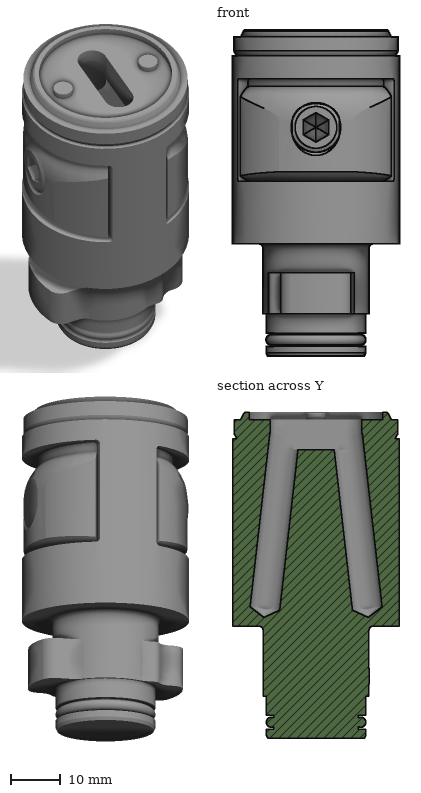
import cadquery as cq
import math

total_height = 65.55
stem_bottom = 8.5
body_bottom = 22.55
body_top = 60.3
cap_shoulder = 64.1

plug_radius = 10.0
stem_radius = 10.7
body_radius = 33.6 / 2

plug_chamfer_width = 0.3
plug_chamfer_height = 0.65
groove_bottom = 1.95
groove_top = 4.65
groove_radius = 8.5
ring_section_radius = 1.05
stem_fillet = 0.8

cap_neck_radius = 16.0
cap_radius = 16.5
cap_chamfer_top = 61.3
lip_base_radius = 15.15
lip_edge_radius = 14.55
lip_edge_chamfer = 0.25
recess_radius = 13.4
pin_radius = 1.95
pin_height = 1.25
pin_chamfer = 0.1
pin_offset = 9.45

slot_length = 18.3
slot_width = 5.9
slot_depth = 6.0
hole_lean = 6.5
hole_depth = 32.1
hole_tip_depth = 1.8
hole_inner_edge = 3.7

strip_half_width = 11.85 / 2
window_bottom = 35.15
front_window_top = 55.7
back_window_top = 56.1
window_corner_radius = 0.8

jaw_radius = 16.6
jaw_axis_offset = 2.9
jaw_neck_reach = 13.4
jaw_reach = 16.3
jaw_neck_bottom = 54.2
jaw_shoulder_bottom = 47.45
jaw_bevel_height = 1.9
jaw_side_start = 13.65
jaw_side_slope = 0.5

screw_height = 45.95
screw_radius = 5.0
screw_face_radius = 4.2
screw_face_y = 16.1
screw_seat_y = 15.7
seat_radius = 5.05
hex_across_flats = 5.1
hex_depth = 3.95
hex_tip_depth = 1.45

lug_top = 16.8
lug_radius = 15.55
lug_half_width = 7.0
lug_crown_half_width = 5.2
lug_corner_start_y = -12.05
lug_corner_bulge = 0.3


def revolve_profile(profile):
    """Turn a closed radius-height outline around Z."""
    return profile.close().revolve(360, (0, 0, 0), (0, 1, 0))


def make_turned_body():
    lip_edge_height = total_height - lip_edge_chamfer
    fillet_mid = stem_fillet * (1 - math.sqrt(0.5))
    profile = (
        cq.Workplane("XZ")
        .lineTo(plug_radius - plug_chamfer_width, 0)
        .lineTo(plug_radius, plug_chamfer_height)
        .lineTo(plug_radius, groove_bottom)
        .lineTo(groove_radius, groove_bottom)
        .lineTo(groove_radius, groove_top)
        .lineTo(plug_radius, groove_top)
        .lineTo(plug_radius, stem_bottom)
        .lineTo(stem_radius, stem_bottom)
        .lineTo(stem_radius, body_bottom - stem_fillet)
        .threePointArc(
            (stem_radius + fillet_mid, body_bottom - fillet_mid),
            (stem_radius + stem_fillet, body_bottom),
        )
        .lineTo(body_radius, body_bottom)
        .lineTo(body_radius, body_top)
        .lineTo(cap_neck_radius, body_top)
        .lineTo(cap_radius, cap_chamfer_top)
        .lineTo(cap_radius, cap_shoulder)
        .lineTo(lip_base_radius, cap_shoulder)
        .lineTo(lip_edge_radius, lip_edge_height)
        .lineTo(lip_edge_radius - lip_edge_chamfer, total_height)
        .lineTo(recess_radius, total_height)
        .lineTo(recess_radius, cap_shoulder)
        .lineTo(0, cap_shoulder)
    )
    return revolve_profile(profile)


def make_o_ring():
    ring_height = (groove_bottom + groove_top) / 2
    ring_axis_radius = plug_radius - ring_section_radius
    return (
        cq.Workplane("XZ")
        .center(-ring_axis_radius, ring_height)
        .circle(ring_section_radius)
        .revolve(360, (ring_axis_radius, 0, 0), (ring_axis_radius, 1, 0))
    )


def make_pins():
    return (
        cq.Workplane("XY", origin=(0, 0, cap_shoulder))
        .pushPoints([(0, pin_offset), (0, -pin_offset)])
        .circle(pin_radius)
        .extrude(pin_height)
        .faces(">Z")
        .chamfer(pin_chamfer)
    )


def make_slot():
    slot_floor = cap_shoulder - slot_depth
    slot = cq.Workplane("XY", origin=(0, 0, slot_floor)).slot2D(slot_length, slot_width).extrude(slot_depth)
    lean = math.radians(hole_lean)
    hole_radius = slot_width / 2
    axis_x = hole_inner_edge + hole_radius / math.cos(lean)
    for side in (-1, 1):
        direction = cq.Vector(side * math.sin(lean), 0, -math.cos(lean))
        start_lift = hole_radius
        start = cq.Vector(side * axis_x, 0, slot_floor) - direction * start_lift
        bore_length = hole_depth + start_lift
        bore = cq.Solid.makeCylinder(hole_radius, bore_length, start, direction)
        tip = cq.Solid.makeCone(hole_radius, 0, hole_tip_depth, start + direction * bore_length, direction)
        slot = slot.union(cq.Workplane(bore)).union(cq.Workplane(tip))
    return slot


def make_window(top):
    """Window on the -Y side of the body, rounded along the strips beside it."""
    height = top - window_bottom
    return (
        cq.Workplane("XY", origin=(0, -strip_half_width, window_bottom))
        .box(2 * body_radius, body_radius, height, centered=(True, False, False))
        .translate((0, -body_radius, 0))
        .edges("|X and >Y")
        .fillet(window_corner_radius)
    )


def make_jaw(top):
    """Jaw on the -Y side: a part turned about an offset axis, trimmed to the body radius."""
    neck_radius = jaw_neck_reach + jaw_axis_offset
    outer_radius = jaw_reach + jaw_axis_offset
    shoulder_width = outer_radius - neck_radius
    shoulder_height = jaw_neck_bottom - jaw_shoulder_bottom
    arc_radius = (shoulder_width**2 + shoulder_height**2) / (2 * shoulder_width)
    half_angle = math.asin(shoulder_height / arc_radius) / 2
    arc_mid = (
        outer_radius - arc_radius * (1 - math.cos(half_angle)),
        jaw_shoulder_bottom + arc_radius * math.sin(half_angle),
    )
    profile = (
        cq.Workplane("XZ")
        .moveTo(0, window_bottom)
        .lineTo(neck_radius, window_bottom)
        .lineTo(outer_radius, window_bottom + jaw_bevel_height)
        .lineTo(outer_radius, jaw_shoulder_bottom)
        .threePointArc(arc_mid, (neck_radius, jaw_neck_bottom))
        .lineTo(neck_radius, top)
        .lineTo(0, top)
    )
    turned = revolve_profile(profile).translate((0, jaw_axis_offset, 0))

    side_run = body_radius - jaw_side_start
    side_end_y = -strip_half_width - jaw_side_slope * side_run
    trim = (
        cq.Workplane("XY", origin=(0, 0, window_bottom))
        .moveTo(-jaw_side_start, 0)
        .lineTo(jaw_side_start, 0)
        .lineTo(jaw_side_start, -strip_half_width)
        .lineTo(body_radius, side_end_y)
        .lineTo(body_radius, -body_radius)
        .lineTo(-body_radius, -body_radius)
        .lineTo(-body_radius, side_end_y)
        .lineTo(-jaw_side_start, -strip_half_width)
        .close()
        .extrude(top - window_bottom)
    )
    limit = cq.Workplane("XY", origin=(0, 0, window_bottom)).circle(jaw_radius).extrude(top - window_bottom)
    return turned.intersect(limit).intersect(trim).cut(make_screw_seat())


def cone_along_minus_y(inner_radius, outer_radius, inner_y, outer_y):
    start = cq.Vector(0, -inner_y, screw_height)
    cone = cq.Solid.makeCone(inner_radius, outer_radius, outer_y - inner_y, start, cq.Vector(0, -1, 0))
    return cq.Workplane(cone)


def make_screw_seat():
    """Flat-bottomed 45 degree countersink on the -Y side."""
    seat_depth = body_radius - screw_seat_y
    return cone_along_minus_y(seat_radius, seat_radius + seat_depth, screw_seat_y, body_radius)


def make_screw_head():
    return cone_along_minus_y(screw_radius, screw_face_radius, screw_seat_y, screw_face_y)


def make_hex_socket():
    """Hexagonal socket with a pointed bottom."""
    hex_diameter = hex_across_flats / math.cos(math.pi / 6)
    socket_bottom = screw_face_y - hex_depth
    socket_plane = cq.Plane(origin=(0, -socket_bottom, screw_height), xDir=(0, 0, 1), normal=(0, -1, 0))
    socket = cq.Workplane(socket_plane).polygon(6, hex_diameter).extrude(hex_depth)
    corners = cq.Workplane(socket_plane).polygon(6, hex_diameter).vertices().vals()
    rim = [corner.toTuple() for corner in corners]
    tip = (0, -socket_bottom + hex_tip_depth, screw_height)
    faces = [cq.Face.makeFromWires(cq.Wire.makePolygon(rim, close=True))]
    for index, corner in enumerate(rim):
        triangle = cq.Wire.makePolygon([rim[index - 1], corner, tip], close=True)
        faces.append(cq.Face.makeFromWires(triangle))
    point = cq.Solid.makeSolid(cq.Shell.makeShell(faces))
    return socket.union(cq.Workplane(point))


def make_lug():
    """Locking lug on the -Y side, with a hooked left flank and a plain right flank."""
    crown_corner_y = -math.sqrt(lug_radius**2 - lug_crown_half_width**2)
    corner_mid = (
        (lug_crown_half_width + lug_half_width) / 2 + lug_corner_bulge,
        (crown_corner_y + lug_corner_start_y) / 2 - lug_corner_bulge,
    )
    return (
        cq.Workplane("XY", origin=(0, 0, stem_bottom))
        .moveTo(0, 0)
        .lineTo(-9.6, -4.8)
        .threePointArc((-9.45, -5.9), (-9.45, -6.95))
        .threePointArc((-9.25, -8.0), (-8.65, -8.65))
        .threePointArc((-7.5, -9.75), (-lug_half_width, -11.3))
        .lineTo(-lug_half_width, lug_corner_start_y)
        .threePointArc((-corner_mid[0], corner_mid[1]), (-lug_crown_half_width, crown_corner_y))
        .threePointArc((0, -lug_radius), (lug_crown_half_width, crown_corner_y))
        .threePointArc(corner_mid, (lug_half_width, lug_corner_start_y))
        .lineTo(lug_half_width, -9.45)
        .threePointArc((7.2, -8.3), (7.75, -7.4))
        .close()
        .extrude(lug_top - stem_bottom)
    )


def turn_to_back(shape):
    return shape.rotate((0, 0, 0), (0, 0, 1), 180)


result = make_turned_body()
result = result.cut(make_window(front_window_top)).cut(turn_to_back(make_window(back_window_top)))
result = result.union(make_jaw(front_window_top)).union(turn_to_back(make_jaw(back_window_top)))
result = result.union(make_screw_head()).cut(make_hex_socket())
result = result.union(make_lug()).union(turn_to_back(make_lug()))
result = result.union(make_o_ring()).union(make_pins()).cut(make_slot())